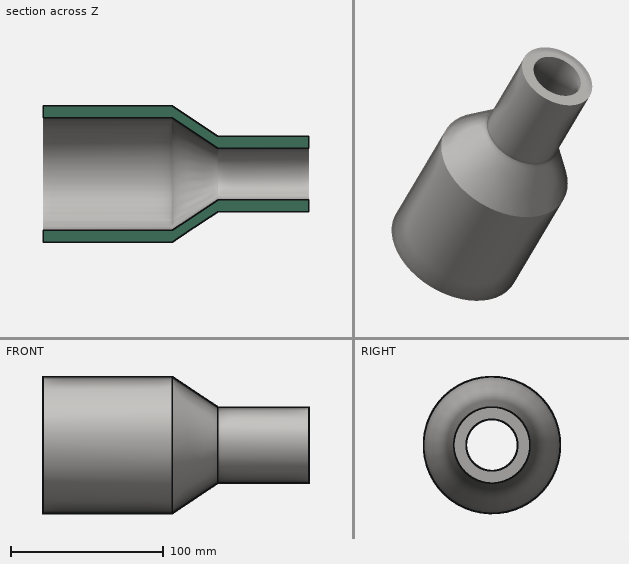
import cadquery as cq

large_outer_diameter = 90.0
large_bore_diameter = 73.6
small_outer_diameter = 50.0
small_bore_diameter = 33.6

large_length = 85.0
cone_length = 30.0
small_length = 60.0

cone_start = large_length
cone_end = cone_start + cone_length
total_length = cone_end + small_length


def stepped_cone_body(large_diameter, small_diameter):
    """Solid of revolution about X: wide cylinder, cone, narrow cylinder."""
    large_radius = large_diameter / 2
    small_radius = small_diameter / 2
    half_profile = (
        cq.Workplane("XY")
        .moveTo(0, 0)
        .lineTo(0, large_radius)
        .lineTo(cone_start, large_radius)
        .lineTo(cone_end, small_radius)
        .lineTo(total_length, small_radius)
        .lineTo(total_length, 0)
        .close()
    )
    return half_profile.revolve(360, (0, 0, 0), (1, 0, 0))


outer_body = stepped_cone_body(large_outer_diameter, small_outer_diameter)

bore = stepped_cone_body(large_bore_diameter, small_bore_diameter)

result = outer_body.cut(bore)